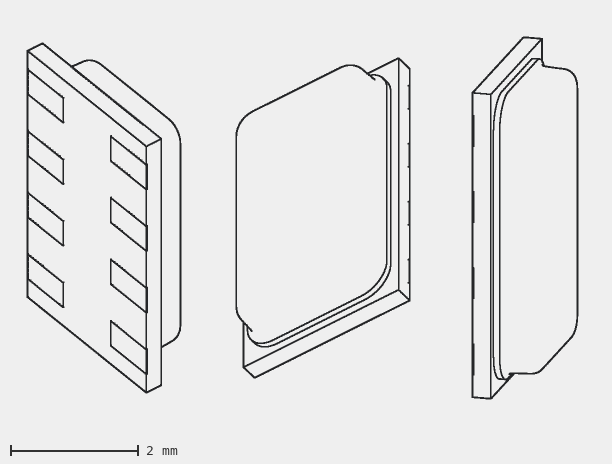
import cadquery as cq

board_width = 3.0
board_height = 5.0
board_thickness = 0.3

pad_width = 0.9
pad_height = 0.5
pad_thickness = 0.02
pad_pitch = 1.25
pads_per_side = 4

total_depth = 1.0
cover_margin = 0.15
flange_thickness = 0.1
flange_corner_radius = 0.5
wall_inset = 0.1
wall_draft = 3.0
foot_fillet = 0.1
crown_fillet = 0.2

flange_width = board_width - 2 * cover_margin
flange_height = board_height - 2 * cover_margin
flange_top = board_thickness + flange_thickness
dome_depth = total_depth - flange_top


def plate(width, height, thickness, y_front, x_center=0.0, z_center=0.0):
    """Rectangular plate that extends toward +Y from y_front."""
    return (
        cq.Workplane("XY")
        .box(width, thickness, height)
        .translate((x_center, y_front + thickness / 2, z_center))
    )


def rounded_outline(width, height, corner_radius, y):
    """Rounded rectangle in the XZ plane at y, ready to be extruded toward +Y."""
    plane = cq.Plane(origin=(0, y, 0), xDir=(1, 0, 0), normal=(0, 1, 0))
    outline = cq.Sketch().rect(width, height).vertices().fillet(corner_radius)
    return cq.Workplane(plane).placeSketch(outline)


def pad_positions():
    """Pad centers (x, z): one column against each side edge of the board."""
    column_x = (board_width - pad_width) / 2
    lowest_z = -pad_pitch * (pads_per_side - 1) / 2
    rows = [lowest_z + row * pad_pitch for row in range(pads_per_side)]
    return [(x, z) for x in (-column_x, column_x) for z in rows]


def make_pad(x, z):
    return plate(pad_width, pad_height, pad_thickness, 0.0, x, z)


def make_board(pads):
    """Board with a matching recess for every pad."""
    board = plate(board_width, board_height, board_thickness, 0.0)
    for pad in pads:
        board = board.cut(pad)
    return board


def make_cover():
    """Flange and drafted dome, blended at the foot and rounded at the crown."""
    flange = rounded_outline(
        flange_width, flange_height, flange_corner_radius, board_thickness
    ).extrude(flange_thickness)
    dome = rounded_outline(
        flange_width - 2 * wall_inset,
        flange_height - 2 * wall_inset,
        flange_corner_radius - wall_inset,
        flange_top,
    ).extrude(dome_depth, taper=wall_draft)
    dome = dome.faces(">Y").edges().fillet(crown_fillet)
    cover = flange.union(dome)

    ledge = cover.faces("|Y").faces("<Y[1]").val()
    foot_edges = ledge.innerWires()[0].Edges()
    return cover.newObject(foot_edges).fillet(foot_fillet)


pads = [make_pad(x, z) for x, z in pad_positions()]
board = make_board(pads)
cover = make_cover()

result = cq.Compound.makeCompound([board.val(), cover.val(), *[pad.val() for pad in pads]])